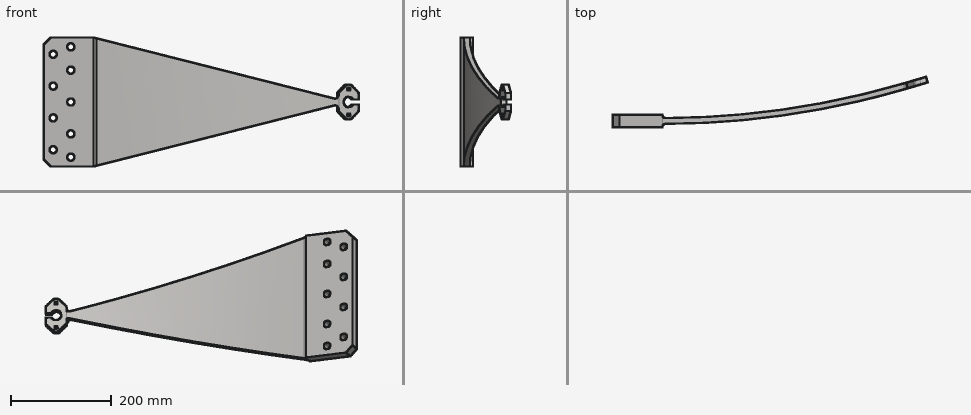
import cadquery as cq
import math

block_length = 99.0
block_thickness = 25.0
block_height = 257.0
block_chamfer = 14.0
mount_hole_diameter = 14.0
hole_pitch = 63.0
first_column_x = 19.0
second_column_x = 54.0
outer_hole_z = 110.0

blade_thickness = 12.0
blade_y = 12.5
blade_radius = 1711.0
blade_root_fillet = 6.0
blade_end_x = 585.5
blade_tip_fillet = 6.0
blade_tip_half_height = 7.0

head_half_width = 20.5
head_lobe_radius = 9.5
small_hole_offset = 26.0
small_hole_diameter = 6.0
center_hole_diameter = 20.5
slot_width = 9.5

clearance = 2 * block_thickness
head_angle = math.degrees(math.asin((blade_end_x - block_length) / blade_radius))


def arc_point(radius, angle):
    """Point on a blade arc at an angle in degrees from the root."""
    turn = math.radians(angle)
    return (
        block_length + radius * math.sin(turn),
        blade_y + blade_radius - radius * math.cos(turn),
    )


def xz_prism(outline, y_start, y_end):
    """Extrude an XZ outline from y_start to y_end."""
    return outline.extrude(y_start - y_end).translate((0, y_start, 0))


def make_block():
    block = cq.Workplane("XY").box(
        block_length, block_thickness, block_height, centered=(False, False, True)
    )
    block = block.edges("<X and |Y").chamfer(block_chamfer)
    first_column = [(first_column_x, k * hole_pitch) for k in (-1.5, -0.5, 0.5, 1.5)]
    second_column_z = (-outer_hole_z, -hole_pitch, 0, hole_pitch, outer_hole_z)
    second_column = [(second_column_x, z) for z in second_column_z]
    holes = cq.Workplane("XZ").pushPoints(first_column + second_column)
    return block.cut(xz_prism(holes.circle(mount_hole_diameter / 2), 0, block_thickness))


def fillet_inset(radius):
    """Distance from either tangent side of a square corner to the middle of its fillet."""
    return radius * (1 - math.sqrt(0.5))


def make_blade_strip():
    """Full-height curved strip, ending square to its own arc."""
    inner = blade_radius - blade_thickness / 2
    outer = blade_radius + blade_thickness / 2
    return (
        cq.Workplane("XY")
        .moveTo(*arc_point(outer, 0))
        .threePointArc(arc_point(outer, head_angle / 2), arc_point(outer, head_angle))
        .lineTo(*arc_point(inner, head_angle))
        .threePointArc(arc_point(inner, head_angle / 2), arc_point(inner, 0))
        .close()
        .extrude(block_height / 2, both=True)
    )


def make_root_fillet(side):
    """Concave fillet between the block end and one blade face; side is -1 or 1."""
    face_y = blade_y + side * blade_thickness / 2
    crest_y = face_y + side * blade_root_fillet
    fillet_end = block_length + blade_root_fillet
    inset = fillet_inset(blade_root_fillet)
    return (
        cq.Workplane("XY")
        .moveTo(block_length, blade_y)
        .lineTo(block_length, crest_y)
        .threePointArc((block_length + inset, face_y + side * inset), (fillet_end, face_y))
        .lineTo(fillet_end, blade_y)
        .close()
        .extrude(block_height / 2, both=True)
    )


def make_taper():
    """Straight taper from full height, flaring through small fillets where it meets the head."""
    half_height = block_height / 2
    tip_z = blade_tip_half_height
    flare_start = blade_end_x - blade_tip_fillet
    flare_z = tip_z + blade_tip_fillet
    inset = fillet_inset(blade_tip_fillet)
    past_end = blade_end_x + blade_thickness
    outline = (
        cq.Workplane("XZ")
        .moveTo(block_length, -half_height)
        .lineTo(flare_start, -tip_z)
        .threePointArc((blade_end_x - inset, -tip_z - inset), (blade_end_x, -flare_z))
        .lineTo(past_end, -flare_z)
        .lineTo(past_end, flare_z)
        .lineTo(blade_end_x, flare_z)
        .threePointArc((blade_end_x - inset, tip_z + inset), (flare_start, tip_z))
        .lineTo(block_length, half_height)
        .close()
    )
    return xz_prism(outline, -clearance, blade_radius)


def make_blade():
    blade = make_blade_strip()
    for side in (-1, 1):
        blade = blade.union(make_root_fillet(side))
    return blade.intersect(make_taper())


def make_head():
    """Two round lobes joined by 45 degree flanks, modelled about its own centre."""
    tangent = head_lobe_radius * math.sqrt(0.5)
    lobe_z = small_hole_offset + tangent
    lobe_top = small_hole_offset + head_lobe_radius
    shoulder_z = small_hole_offset + head_lobe_radius * math.sqrt(2) - head_half_width
    outline = (
        cq.Workplane("XZ")
        .moveTo(-head_half_width, -shoulder_z)
        .lineTo(-head_half_width, shoulder_z)
        .lineTo(-tangent, lobe_z)
        .threePointArc((0, lobe_top), (tangent, lobe_z))
        .lineTo(head_half_width, shoulder_z)
        .lineTo(head_half_width, -shoulder_z)
        .lineTo(tangent, -lobe_z)
        .threePointArc((0, -lobe_top), (-tangent, -lobe_z))
        .close()
    )
    head = outline.extrude(blade_thickness / 2, both=True)

    small_holes = (
        cq.Workplane("XZ")
        .pushPoints([(0, -small_hole_offset), (0, small_hole_offset)])
        .circle(small_hole_diameter / 2)
        .extrude(blade_thickness, both=True)
    )
    center_hole = cq.Workplane("XZ").circle(center_hole_diameter / 2).extrude(blade_thickness, both=True)
    slot = cq.Workplane("XY").box(
        2 * head_half_width, 2 * blade_thickness, slot_width, centered=(False, True, True)
    )
    return head.cut(small_holes).cut(center_hole).cut(slot)


def place_head(head):
    """Tilt the head and slide it along the tangent at the end of the blade arc."""
    end_x, end_y = arc_point(blade_radius, head_angle)
    from_edge = head.translate((head_half_width, 0, 0))
    return from_edge.rotate((0, 0, 0), (0, 0, 1), head_angle).translate((end_x, end_y, 0))


result = make_block().union(make_blade()).union(place_head(make_head()))